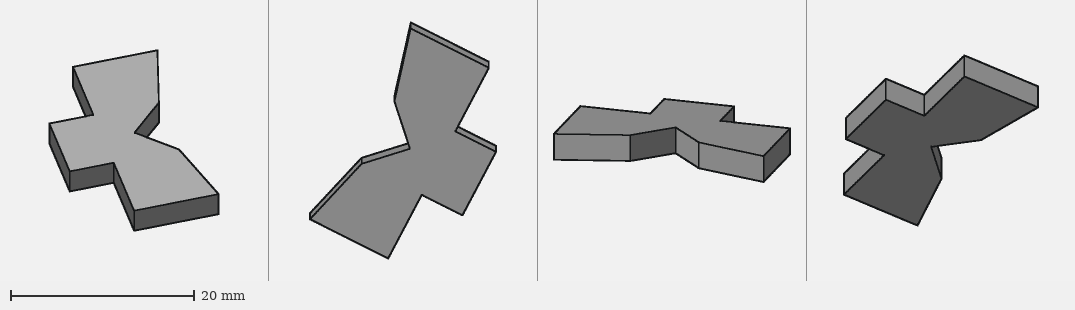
import cadquery as cq
import math

width = 24.0
depth = 14.6
thickness = 3.0

stem_width = width / 3
stem_length = 5.0

notch_half_width = 3.9
notch_half_angle = 45.0
wing_slope = 15.0

half_width = width / 2
half_stem = stem_width / 2
wing_run = half_width - notch_half_width
shoulder_y = depth - wing_run * math.tan(math.radians(wing_slope))
notch_y = shoulder_y - notch_half_width / math.tan(math.radians(notch_half_angle))

right_half = (
    cq.Workplane("XY")
    .moveTo(0, 0)
    .lineTo(half_stem, 0)
    .lineTo(half_stem, stem_length)
    .lineTo(half_width, stem_length)
    .lineTo(half_width, depth)
    .lineTo(notch_half_width, shoulder_y)
    .lineTo(0, notch_y)
)

result = right_half.mirrorY().extrude(thickness)